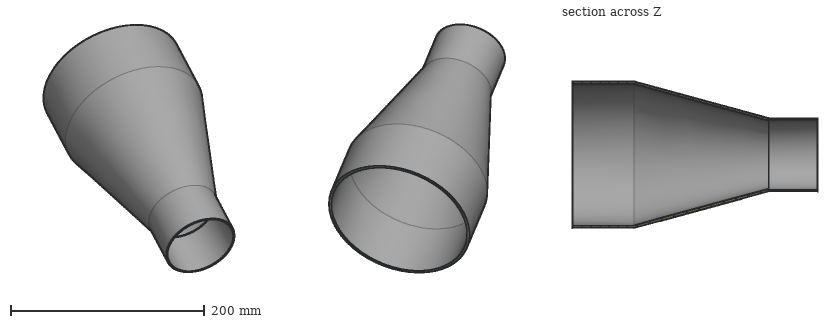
import cadquery as cq

total_length = 254.0
large_end_length = 63.5
small_end_length = 50.8

large_outer_diameter = 152.5
large_inner_diameter = 146.8
small_outer_diameter = 76.2
small_inner_diameter = 73.0

cone_wall = (large_outer_diameter - large_inner_diameter) / 2
throat_diameter = small_outer_diameter - 2 * cone_wall

cone_start = large_end_length
cone_end = total_length - small_end_length

outer_wall = [
    (0, large_outer_diameter / 2),
    (cone_start, large_outer_diameter / 2),
    (cone_end, small_outer_diameter / 2),
    (total_length, small_outer_diameter / 2),
]
inner_wall = [
    (total_length, small_inner_diameter / 2),
    (cone_end, small_inner_diameter / 2),
    (cone_end, throat_diameter / 2),
    (cone_start, large_inner_diameter / 2),
    (0, large_inner_diameter / 2),
]
wall_section = cq.Workplane("XY").polyline(outer_wall + inner_wall).close()

result = wall_section.revolve(360, (0, 0, 0), (1, 0, 0))